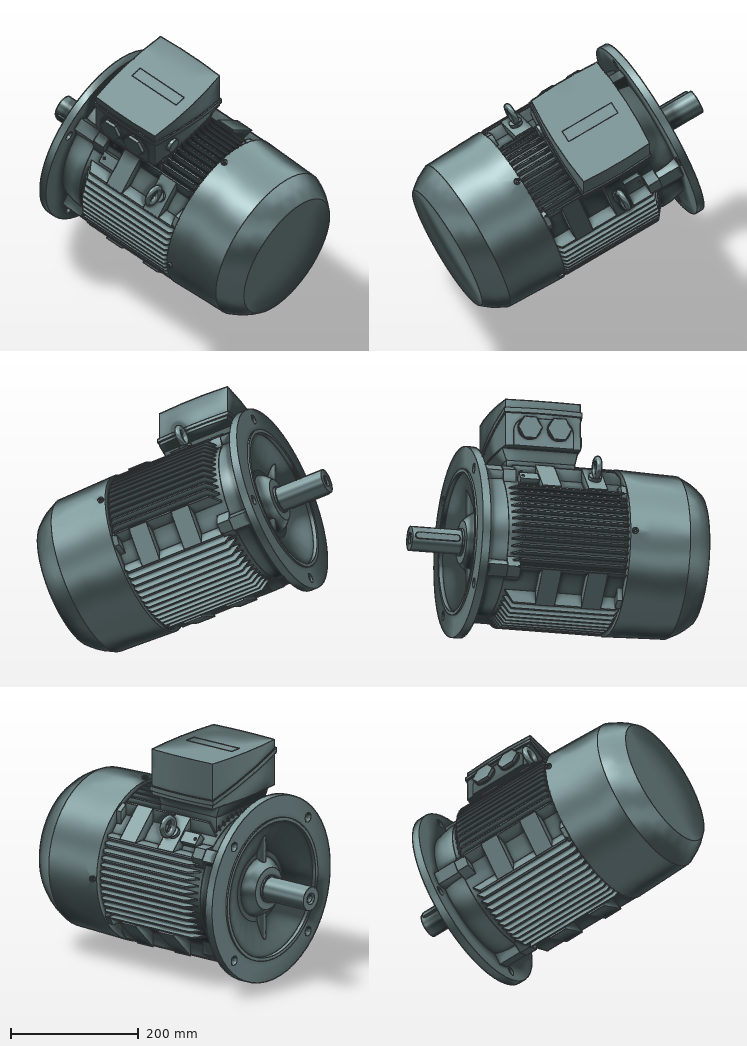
import cadquery as cq
import math

SHAFT_SHOULDER_X = 80.0
SPIGOT_FACE_X = 76.0
FLANGE_FACE_X = 79.0
FLANGE_BACK_X = 91.5
SHIELD_BACK_X = 130.0
FRAME_BACK_X = 323.0
COWL_EDGE_X = 420.5
COWL_END_X = 458.0

SHAFT_R = 38.0 / 2
COLLAR_R = 21.5
CENTRE_HOLE_R = 6.5
CENTRE_SINK_R = 9.0
CENTRE_SINK_DEPTH = 2.7
CENTRE_HOLE_DEPTH = 36.5
KEY_START_X = 4.0
KEY_WIDTH = 10.0
KEY_TOP_R = 22.0

FLANGE_R = 300.0 / 2
SPIGOT_R = 115.0
RECESS_R = 109.5
RECESS_EDGE_X = 82.5
CONE_FLOOR_X = 101.5
CONE_FLOOR_R = 56.5
HUB_BASE_R = 48.0
HUB_FACE_R = 34.0
HUB_FACE_X = 83.5
HUB_MID_X = 91.0
HUB_MID_R = 41.5
SHIELD_R = 114.5
SHIELD_MID_R = 113.5
SHIELD_NECK_R = 109.5
BOLT_CIRCLE_R = 132.5
BOLT_HOLE_R = 15.0 / 2
WEB_WIDTH = 13.5
WEB_NOSE_X = 91.0
WEB_OUTER_R = 91.5
WEB_NOSE_R = 6.5
WEB_ANGLES = (90, 270)

SHIELD_LUG = [(-46.5, 92.5), (-64.5, 110.0), (-81.0, 98.0), (-71.0, 71.0)]
FRAME_LUG = [(-36.5, 98.0), (-66.0, 109.5), (-80.5, 100.5), (-80.5, 68.5)]
FRONT_LUG_END_X = 150.5
REAR_LUG_START_X = 314.0

FRAME_R = 113.5
FIN_TIP_R = 130.0
FIN_THICKNESS = 2.5
FIN_PITCH = 11.0
FINS_PER_SIDE = 13
FIN_START_X = 136.0
FIN_START_R = 114.0
FIN_FULL_X = 149.5
FIN_TAPER_X = 315.0
FIN_END_R = 122.5
PAD_LENGTH = 30.5
PAD_SIDE = 68.5
PAD_REACH = 114.0
PAD_TOP_R = (PAD_SIDE + PAD_REACH) / math.sqrt(2)
FRONT_PAD_X = 200.0
REAR_PAD_X = 275.0
EARTH_BLOCK_START_X = 154.5
EARTH_BLOCK_WIDTH = 19.2
EARTH_BLOCK_TOP_R = 126.5
EARTH_BLOCK_INNER_R = 100.8
EARTH_HOLE_X = 160.0
EARTH_HOLE_R = 2.5
EARTH_HOLE_DEPTH = 4.5
FIN_HOLE_X = 162.5
FIN_HOLE_Z = 101.5
SADDLE_START_X = 140.0
SADDLE_END_X = 251.0
SADDLE_HALF_WIDTH = 60.5
SADDLE_TOP_Z = 121.0

COWL_R = 131.0
COWL_EDGE_R = 128.0
COWL_END_R = 104.0
COWL_BULGE = 2.7
COWL_SCREW_X = 329.8
COWL_SCREW_ANGLES = (0, 90, 180)
COWL_SCREW_R = 4.5
COWL_SCREW_TOP_R = 134.0
COWL_SOCKET_WIDTH = 4.5
COWL_SOCKET_DEPTH = 2.0

OVERALL_HEIGHT = 364.5
BOX_BOTTOM_Z = 140.0
BOX_TOP_Z = OVERALL_HEIGHT - FLANGE_R
BOX_X_MIN = 134.0
BOX_X_MAX = 255.0
BOX_Y_MIN = -79.2
BOX_Y_MAX = 77.5
BOX_SIDE_BULGE = 4.5
BOX_END_BULGE = 2.5
NECK_X_MIN = 133.5
NECK_X_MAX = 255.5
NECK_HALF_WIDTH = 61.5
SEAM_OVERHANG = 2.5
SEAM_THICKNESS = 7.5
SEAM_BACK_Z = 149.8
SEAM_FRONT_Z = 198.0
GLAND_PLATE_FACE_Y = -82.5
GLAND_PLATE_X_MIN = 146.5
GLAND_PLATE_X_MAX = 243.0
GLAND_PLATE_TOP_Z = 186.0
GLAND_PLATE_CORNER_R = 23.0
GLAND_X = (171.5, 219.0)
GLAND_Z = 169.0
GLAND_COLLAR_R = 18.5
GLAND_COLLAR_HEIGHT = 2.7
GLAND_HEX_ACROSS_CORNERS = 39.0
GLAND_END_Y = -90.5
SIDE_PLUG_Y = -43.0
SIDE_PLUG_Z = 161.0
SIDE_PLUG_R = 11.0
SIDE_PLUG_END_X = 264.0
LABEL_X_MIN = 150.0
LABEL_X_MAX = 240.5
LABEL_Y_CENTRE = -1.0
LABEL_WIDTH = 19.5
LABEL_DEPTH = 0.5

EYE_COLLAR_R = 10.0
EYE_COLLAR_HEIGHT = 5.5
EYE_CENTRE_R = 149.8
EYE_RING_R = 13.7
EYE_WIRE_R = 4.35

QUARTERS = (0, 90, 180, 270)
DIAGONALS = (45, 135, 225, 315)
UPPER_DIAGONALS = (45, 135)


def turn(shape, angle):
    """Rotate about the motor axis; angles run from +Y towards +Z."""
    return shape.rotate((0, 0, 0), (1, 0, 0), angle)


def revolved(profile):
    """Revolve a closed (x, radius) profile about the motor axis."""
    return profile.close().revolve(360, (0, 0, 0), (1, 0, 0))


def block(x_range, y_range, z_range):
    """Axis-aligned box between the given limits."""
    (x0, x1), (y0, y1), (z0, z1) = x_range, y_range, z_range
    return cq.Workplane("XY").box(x1 - x0, y1 - y0, z1 - z0, centered=False).translate((x0, y0, z0))


def radial_block(x_range, r_range, width, angle):
    """Box standing on the motor axis direction, pointing outwards at an angle."""
    return turn(block(x_range, r_range, (-width / 2, width / 2)), angle)


def radial_cylinder(x, r_range, radius, angle):
    """Cylinder whose axis points outwards from the motor axis at an angle."""
    r0, r1 = r_range
    bar = cq.Workplane("XZ", origin=(x, r0, 0)).circle(radius).extrude(-(r1 - r0))
    return turn(bar, angle)


def axial_cylinder(x_range, radius):
    """Cylinder on the motor axis."""
    x0, x1 = x_range
    return cq.Workplane("YZ", origin=(x0, 0, 0)).circle(radius).extrude(x1 - x0)


def prism(x_range, section):
    """Prism along X with a polygonal (y, z) section."""
    x0, x1 = x_range
    return cq.Workplane("YZ", origin=(x0, 0, 0)).polyline(section).close().extrude(x1 - x0)


def add_each_quarter(body, feature):
    """Add a feature four times, a quarter turn apart."""
    for quarter in QUARTERS:
        body = body.union(turn(feature, quarter))
    return body


def make_shaft():
    shaft = axial_cylinder((0, SHAFT_SHOULDER_X), SHAFT_R)
    shaft = shaft.union(axial_cylinder((SHAFT_SHOULDER_X, SHIELD_BACK_X), COLLAR_R))
    centre_hole = (
        cq.Workplane("XY")
        .lineTo(0, CENTRE_SINK_R)
        .lineTo(CENTRE_SINK_DEPTH, CENTRE_HOLE_R)
        .lineTo(CENTRE_HOLE_DEPTH, CENTRE_HOLE_R)
        .lineTo(CENTRE_HOLE_DEPTH + CENTRE_HOLE_R, 0)
    )
    shaft = shaft.cut(revolved(centre_hole))
    key_length = SPIGOT_FACE_X - KEY_START_X
    key = (
        cq.Workplane("XZ", origin=(KEY_START_X + key_length / 2, 0, 0))
        .workplane(offset=SHAFT_R / 2)
        .slot2D(key_length, KEY_WIDTH)
        .extrude(KEY_TOP_R - SHAFT_R / 2)
    )
    return shaft.union(key)


def make_end_shield():
    shield_mid_x = (FLANGE_BACK_X + SHIELD_BACK_X) / 2
    profile = (
        cq.Workplane("XY")
        .moveTo(SPIGOT_FACE_X, RECESS_R)
        .lineTo(SPIGOT_FACE_X, SPIGOT_R)
        .lineTo(FLANGE_FACE_X, SPIGOT_R)
        .lineTo(FLANGE_FACE_X, FLANGE_R)
        .lineTo(FLANGE_BACK_X, FLANGE_R)
        .lineTo(FLANGE_BACK_X, SHIELD_NECK_R)
        .threePointArc((shield_mid_x, SHIELD_MID_R), (SHIELD_BACK_X, SHIELD_R))
        .lineTo(SHIELD_BACK_X, COLLAR_R)
        .lineTo(HUB_FACE_X, COLLAR_R)
        .lineTo(HUB_FACE_X, HUB_FACE_R)
        .threePointArc((HUB_MID_X, HUB_MID_R), (CONE_FLOOR_X, HUB_BASE_R))
        .lineTo(CONE_FLOOR_X, CONE_FLOOR_R)
        .lineTo(RECESS_EDGE_X, RECESS_R)
    )
    shield = revolved(profile)
    for angle in DIAGONALS:
        hole = axial_cylinder((FLANGE_FACE_X, FLANGE_BACK_X), BOLT_HOLE_R).translate((0, BOLT_CIRCLE_R, 0))
        shield = shield.cut(turn(hole, angle))
    web_root_x = CONE_FLOOR_X + WEB_WIDTH / 2
    for angle in WEB_ANGLES:
        web = radial_block((WEB_NOSE_X, web_root_x), (HUB_FACE_R, WEB_OUTER_R), WEB_WIDTH, angle)
        web = web.edges("<X and |Z").fillet(WEB_NOSE_R)
        shield = shield.union(web)
    return add_each_quarter(shield, prism((FLANGE_BACK_X, SHIELD_BACK_X), SHIELD_LUG))


def make_fins():
    """Four sets of parallel fins, their tips trimmed to one turned envelope."""
    fins = cq.Workplane("XY")
    middle = (FINS_PER_SIDE - 1) / 2
    for quarter in QUARTERS:
        for index in range(FINS_PER_SIDE):
            offset = (index - middle) * FIN_PITCH
            half = FIN_THICKNESS / 2
            fin = block((FIN_START_X, FRAME_BACK_X), (FRAME_R / 2, FIN_TIP_R), (offset - half, offset + half))
            fins = fins.add(turn(fin, quarter))
    envelope = (
        cq.Workplane("XY")
        .moveTo(FIN_START_X, 0)
        .lineTo(FIN_START_X, FIN_START_R)
        .lineTo(FIN_FULL_X, FIN_TIP_R)
        .lineTo(FIN_TAPER_X, FIN_TIP_R)
        .lineTo(FRAME_BACK_X, FIN_END_R)
        .lineTo(FRAME_BACK_X, 0)
    )
    return revolved(envelope).intersect(fins.combine())


def make_frame(terminal_box):
    frame = axial_cylinder((SHIELD_BACK_X, FRAME_BACK_X), FRAME_R)
    frame = frame.union(make_fins())
    front_lug = prism((SHIELD_BACK_X, FRONT_LUG_END_X), FRAME_LUG)
    rear_lug = prism((REAR_LUG_START_X, FRAME_BACK_X), FRAME_LUG).mirror("XY")
    frame = add_each_quarter(frame, front_lug)
    frame = add_each_quarter(frame, rear_lug)
    pad_section = [(PAD_SIDE, PAD_SIDE), (PAD_REACH, PAD_SIDE), (PAD_SIDE, PAD_REACH)]
    for pad_x in (FRONT_PAD_X, REAR_PAD_X):
        pad = prism((pad_x - PAD_LENGTH / 2, pad_x + PAD_LENGTH / 2), pad_section)
        frame = add_each_quarter(frame, pad)
    for angle in UPPER_DIAGONALS:
        earth_range = (EARTH_BLOCK_START_X, FRONT_PAD_X - PAD_LENGTH / 2)
        r_range = (EARTH_BLOCK_INNER_R, EARTH_BLOCK_TOP_R)
        frame = frame.union(radial_block(earth_range, r_range, EARTH_BLOCK_WIDTH, angle))
        hole_range = (EARTH_BLOCK_TOP_R - EARTH_HOLE_DEPTH, EARTH_BLOCK_TOP_R)
        frame = frame.cut(radial_cylinder(EARTH_HOLE_X, hole_range, EARTH_HOLE_R, angle))
    outer_fin_y = -(FINS_PER_SIDE - 1) / 2 * FIN_PITCH - FIN_THICKNESS / 2
    fin_hole = cq.Workplane("XZ", origin=(FIN_HOLE_X, outer_fin_y, FIN_HOLE_Z)).circle(EARTH_HOLE_R)
    frame = frame.cut(fin_hole.extrude(-FIN_THICKNESS))
    saddle_x = (SADDLE_START_X, SADDLE_END_X)
    saddle_y = (-SADDLE_HALF_WIDTH, SADDLE_HALF_WIDTH)
    frame = frame.union(block(saddle_x, saddle_y, (0, SADDLE_TOP_Z)))
    frame = frame.cut(block(saddle_x, saddle_y, (SADDLE_TOP_Z, FIN_TIP_R)))
    return frame.cut(terminal_box)


def make_cowl():
    crown_mid_x = (COWL_EDGE_X + COWL_END_X) / 2
    crown_mid_r = (COWL_EDGE_R + COWL_END_R) / 2 + COWL_BULGE
    profile = (
        cq.Workplane("XY")
        .moveTo(FRAME_BACK_X, 0)
        .lineTo(FRAME_BACK_X, COWL_R)
        .lineTo(COWL_EDGE_X, COWL_EDGE_R)
        .threePointArc((crown_mid_x, crown_mid_r), (COWL_END_X, COWL_END_R))
        .lineTo(COWL_END_X, 0)
    )
    cowl = revolved(profile)
    for angle in COWL_SCREW_ANGLES:
        head_range = (COWL_EDGE_R, COWL_SCREW_TOP_R)
        cowl = cowl.union(radial_cylinder(COWL_SCREW_X, head_range, COWL_SCREW_R, angle))
        socket = (
            cq.Workplane("XZ", origin=(COWL_SCREW_X, COWL_SCREW_TOP_R, 0))
            .polygon(6, COWL_SOCKET_WIDTH)
            .extrude(COWL_SOCKET_DEPTH)
        )
        cowl = cowl.cut(turn(socket, angle))
    return cowl


def bulged_prism(overhang, z_range):
    """Upright prism with four slightly bowed sides."""
    x0, x1 = BOX_X_MIN - overhang, BOX_X_MAX + overhang
    y0, y1 = BOX_Y_MIN - overhang, BOX_Y_MAX + overhang
    x_mid, y_mid = (x0 + x1) / 2, (y0 + y1) / 2
    z0, z1 = z_range
    return (
        cq.Workplane("XY", origin=(0, 0, z0))
        .moveTo(x0, y0)
        .threePointArc((x_mid, y0 - BOX_END_BULGE), (x1, y0))
        .threePointArc((x1 + BOX_SIDE_BULGE, y_mid), (x1, y1))
        .threePointArc((x_mid, y1 + BOX_END_BULGE), (x0, y1))
        .threePointArc((x0 - BOX_SIDE_BULGE, y_mid), (x0, y0))
        .close()
        .extrude(z1 - z0)
    )


def make_seam():
    """Sloping rim where the lid meets the box, standing proud all round."""
    half = SEAM_THICKNESS / 2
    reach_back = BOX_Y_MAX + BOX_END_BULGE + SEAM_OVERHANG
    reach_front = BOX_Y_MIN - BOX_END_BULGE - SEAM_OVERHANG
    slab = (
        cq.Workplane("YZ")
        .moveTo(reach_front, SEAM_FRONT_Z - half)
        .lineTo(reach_back, SEAM_BACK_Z - half)
        .lineTo(reach_back, SEAM_BACK_Z + half)
        .lineTo(reach_front, SEAM_FRONT_Z + half)
        .close()
        .extrude(COWL_END_X)
    )
    return bulged_prism(SEAM_OVERHANG, (BOX_BOTTOM_Z, BOX_TOP_Z)).intersect(slab)


def make_neck():
    """Foot that tapers from the box down to the saddle."""
    saddle_length = SADDLE_END_X - SADDLE_START_X
    saddle_mid_x = (SADDLE_START_X + SADDLE_END_X) / 2
    neck_shift = (NECK_X_MIN + NECK_X_MAX) / 2 - saddle_mid_x
    return (
        cq.Workplane("XY", origin=(saddle_mid_x, 0, SADDLE_TOP_Z))
        .rect(saddle_length, 2 * SADDLE_HALF_WIDTH)
        .workplane(offset=BOX_BOTTOM_Z - SADDLE_TOP_Z)
        .center(neck_shift, 0)
        .rect(NECK_X_MAX - NECK_X_MIN, 2 * NECK_HALF_WIDTH)
        .loft(combine=True)
    )


def make_gland(x):
    """Blanking plug: round collar under a hexagon head."""
    seat = cq.Workplane("XZ", origin=(x, GLAND_PLATE_FACE_Y, GLAND_Z))
    collar = seat.circle(GLAND_COLLAR_R).extrude(GLAND_COLLAR_HEIGHT)
    head = (
        seat.workplane(offset=GLAND_COLLAR_HEIGHT)
        .polygon(6, GLAND_HEX_ACROSS_CORNERS)
        .extrude(GLAND_PLATE_FACE_Y - GLAND_COLLAR_HEIGHT - GLAND_END_Y)
    )
    return collar.union(head)


def make_terminal_box():
    box = bulged_prism(0, (BOX_BOTTOM_Z, BOX_TOP_Z)).union(make_seam()).union(make_neck())
    plate = block(
        (GLAND_PLATE_X_MIN, GLAND_PLATE_X_MAX),
        (GLAND_PLATE_FACE_Y, BOX_Y_MIN),
        (BOX_BOTTOM_Z, GLAND_PLATE_TOP_Z),
    )
    box = box.union(plate.edges("|Y and >Z").fillet(GLAND_PLATE_CORNER_R))
    for x in GLAND_X:
        box = box.union(make_gland(x))
    side_plug = axial_cylinder((BOX_X_MAX, SIDE_PLUG_END_X), SIDE_PLUG_R)
    box = box.union(side_plug.translate((0, SIDE_PLUG_Y, SIDE_PLUG_Z)))
    label = block(
        (LABEL_X_MIN, LABEL_X_MAX),
        (LABEL_Y_CENTRE - LABEL_WIDTH / 2, LABEL_Y_CENTRE + LABEL_WIDTH / 2),
        (BOX_TOP_Z - LABEL_DEPTH, BOX_TOP_Z),
    )
    return box.cut(label)


def make_eyebolt(x, angle):
    """Ring in the plane across the motor axis, on a round collar."""
    collar = radial_cylinder(x, (PAD_TOP_R, PAD_TOP_R + EYE_COLLAR_HEIGHT), EYE_COLLAR_R, angle)
    ring_centre = cq.Vector(x, EYE_CENTRE_R, 0)
    ring = cq.Solid.makeTorus(EYE_RING_R, EYE_WIRE_R, ring_centre, cq.Vector(1, 0, 0))
    return collar.union(turn(cq.Workplane(ring), angle))


shaft = make_shaft()
end_shield = make_end_shield()
terminal_box = make_terminal_box()
frame = make_frame(terminal_box)
cowl = make_cowl()
eyebolt_places = zip((FRONT_PAD_X, REAR_PAD_X), UPPER_DIAGONALS)
eyebolts = [make_eyebolt(x, angle).val() for x, angle in eyebolt_places]

result = cq.Compound.makeCompound(
    [shaft.val(), end_shield.val(), frame.val(), cowl.val(), terminal_box.val(), *eyebolts]
)